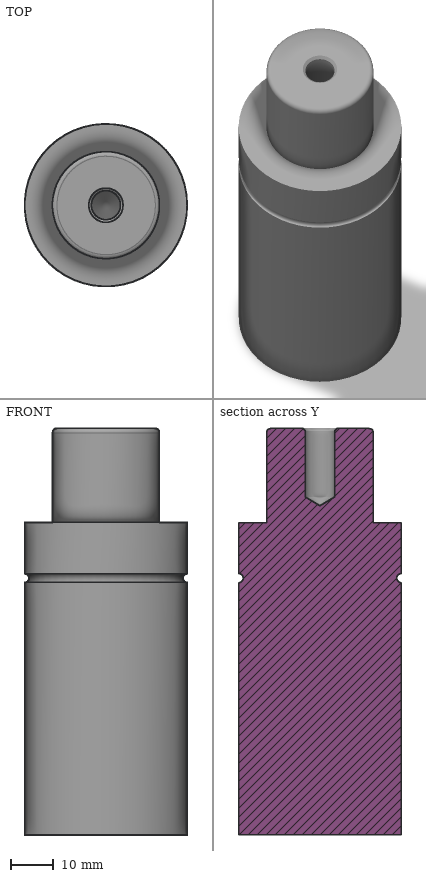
import cadquery as cq
import math

total_height = 95.0
body_diameter = 38.0
spigot_diameter = 25.0
spigot_height = 22.0
spigot_fillet = 1.0

groove_radius = 1.0
groove_center_z = 60.0

hole_diameter = 6.8
hole_mouth_diameter = 8.0
hole_depth = 16.0
drill_tip_angle = 118.0

body_radius = body_diameter / 2
body_height = total_height - spigot_height
spigot_radius = spigot_diameter / 2
hole_radius = hole_diameter / 2
hole_mouth_radius = hole_mouth_diameter / 2
hole_chamfer = hole_mouth_radius - hole_radius
tip_depth = hole_radius / math.tan(math.radians(drill_tip_angle / 2))


def revolve_about_z(profile):
    """Revolve a closed XZ-plane profile a full turn about the Z axis."""
    return profile.close().revolve(360, (0, 0, 0), (0, 1, 0))


def make_body():
    """Cylindrical body with the half-round groove."""
    profile = (
        cq.Workplane("XZ")
        .lineTo(body_radius, 0)
        .lineTo(body_radius, groove_center_z - groove_radius)
        .threePointArc(
            (body_radius - groove_radius, groove_center_z),
            (body_radius, groove_center_z + groove_radius),
        )
        .lineTo(body_radius, body_height)
        .lineTo(0, body_height)
    )
    return revolve_about_z(profile)


def make_spigot():
    """Spigot on top of the body with a rounded top edge."""
    return (
        cq.Workplane("XY")
        .workplane(offset=body_height)
        .circle(spigot_radius)
        .extrude(spigot_height)
        .faces(">Z")
        .edges()
        .fillet(spigot_fillet)
    )


def make_hole_cutter():
    """Blind hole with a 45 degree countersunk mouth and a conical drill tip."""
    floor_z = total_height - hole_depth
    profile = (
        cq.Workplane("XZ")
        .moveTo(0, total_height)
        .lineTo(hole_mouth_radius, total_height)
        .lineTo(hole_radius, total_height - hole_chamfer)
        .lineTo(hole_radius, floor_z)
        .lineTo(0, floor_z - tip_depth)
    )
    return revolve_about_z(profile)


result = make_body().union(make_spigot()).cut(make_hole_cutter())